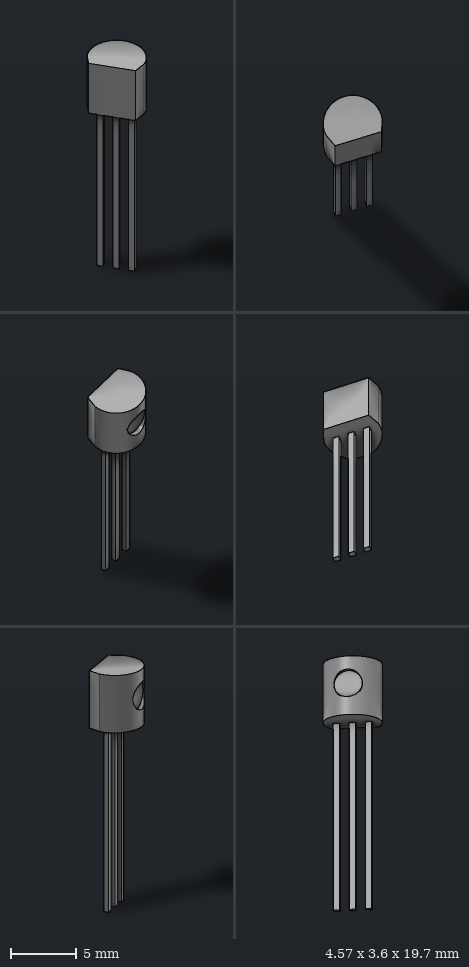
import cadquery as cq
import math

total_height = 19.7
body_height = 4.7
body_diameter = 4.57
body_depth = 3.6
front_width = 3.75
side_face_depth = 1.02

lead_count = 3
lead_pitch = 1.26
lead_width = 0.5
lead_thickness = 0.41
lead_setback = 1.26

dimple_diameter = 2.2
dimple_depth = 0.4
dimple_drop = 2.17

body_radius = body_diameter / 2
back_y = body_radius
front_y = back_y - body_depth
lead_length = total_height - body_height


def make_body():
    """D-shaped prism: round back, two slanted sides and a flat front."""
    front_x = front_width / 2
    arc_end_y = front_y + side_face_depth
    arc_end_x = math.sqrt(body_radius**2 - arc_end_y**2)
    return (
        cq.Workplane("XY", origin=(0, 0, lead_length))
        .moveTo(-front_x, front_y)
        .lineTo(front_x, front_y)
        .lineTo(arc_end_x, arc_end_y)
        .threePointArc((0, back_y), (-arc_end_x, arc_end_y))
        .close()
        .extrude(body_height)
    )


def make_dimple():
    """Flat-bottomed round pocket, to be cut into the back of the body."""
    dimple_z = total_height - dimple_drop
    return (
        cq.Workplane("XZ", origin=(0, back_y, dimple_z))
        .circle(dimple_diameter / 2)
        .extrude(dimple_depth)
    )


def make_leads():
    """Row of straight rectangular leads below the body."""
    return (
        cq.Workplane("XY", origin=(0, front_y + lead_setback, 0))
        .rarray(lead_pitch, 0.2, lead_count, 1)
        .rect(lead_width, lead_thickness)
        .extrude(lead_length)
    )


result = make_body().cut(make_dimple()).union(make_leads())